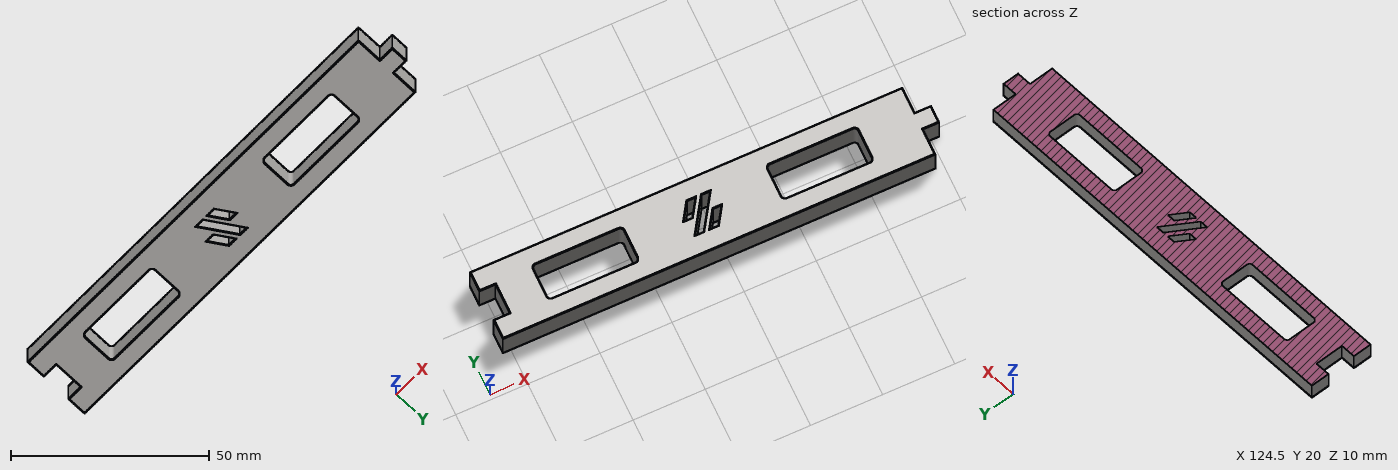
import cadquery as cq

body_length = 120.0
body_width = 20.0
thickness = 10.0
edge_chamfer = 0.25

tab_length = 4.5
tab_width = 5.0
notch_depth = 4.5
notch_width = 8.5

window_length = 25.0
window_width = 10.0
window_corner_radius = 1.0
window_end_margin = 15.0

slot_width = 2.25
slots_span = 9.25
short_slot_span = 4.6
slot_lean = 0.65
slot_pitch = 4.05

body_end = body_length / 2
window_offset = body_end - window_end_margin - window_length / 2


def make_block(length, width, x_center):
    """Block of full thickness, centred on the X axis."""
    return cq.Workplane("XY").box(length, width, thickness).translate((x_center, 0, 0))


def make_window(x_center):
    """Rounded rectangular cutter."""
    return make_block(window_length, window_width, x_center).edges("|Z").fillet(window_corner_radius)


def make_slot(x_center, y_low, y_high):
    """Slanted parallelogram cutter whose centre line crosses Y = 0 at x_center."""
    half_width = slot_width / 2
    x_low = x_center + slot_lean * y_low
    x_high = x_center + slot_lean * y_high
    corners = [
        (x_low - half_width, y_low),
        (x_low + half_width, y_low),
        (x_high + half_width, y_high),
        (x_high - half_width, y_high),
    ]
    return cq.Workplane("XY").polyline(corners).close().extrude(thickness / 2, both=True)


def cut_slots(part):
    """Long middle slot, with a short slot at its upper left and one at its lower right."""
    slots_top = slots_span / 2
    short_slot_end = slots_top - short_slot_span
    part = part.cut(make_slot(0, -slots_top, slots_top))
    part = part.cut(make_slot(-slot_pitch, short_slot_end, slots_top))
    return part.cut(make_slot(slot_pitch, -slots_top, -short_slot_end))


part = make_block(body_length, body_width, 0)
part = part.union(make_block(tab_length, tab_width, body_end + tab_length / 2))
part = part.cut(make_block(notch_depth, notch_width, -body_end + notch_depth / 2))

for side in (-1, 1):
    part = part.cut(make_window(side * window_offset))
part = cut_slots(part)

result = part.faces("|Z").edges().chamfer(edge_chamfer)